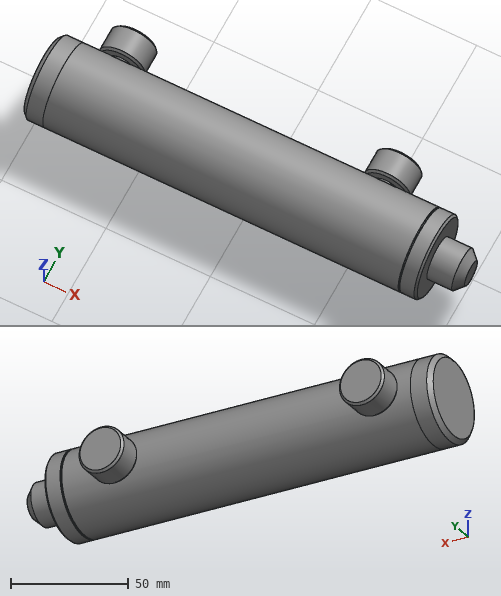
import cadquery as cq

OVERALL_LENGTH = 205.0

BARREL_DIAMETER = 40.0
BARREL_RADIUS = BARREL_DIAMETER / 2
CAP_LENGTH = 10.0
CAP_CHAMFER = 2.0
BARREL_END = 180.5
GLAND_END = 189.0
GLAND_CHAMFER = 1.0

GROOVE_WIDTH = 0.6
GROOVE_DEPTH = 0.5

ROD_DIAMETER = 20.0
ROD_CHAMFER = 4.0

PORT_POSITIONS = (26.9, 154.0)
PORT_DIAMETER = 22.0
PORT_CHAMFER = 1.0
PORT_OUTER_Y = 53.0 - BARREL_RADIUS
PORT_HEAD_Y = BARREL_RADIUS
NECK_DIAMETER = 12.3
NECK_SEAT_Y = 16.5


def cylinder_along_x(start, end, diameter):
    """Round bar on the X axis between two X positions."""
    return cq.Workplane("YZ", origin=(start, 0, 0)).circle(diameter / 2).extrude(end - start)


def cylinder_along_y(x, start, end, diameter):
    """Round bar parallel to Y at a given X, between two Y positions."""
    return cq.Workplane("XZ", origin=(x, start, 0)).circle(diameter / 2).extrude(start - end)


def make_neck(x):
    """Port neck, also used to cut its seat in the barrel."""
    return cylinder_along_y(x, NECK_SEAT_Y, PORT_HEAD_Y, NECK_DIAMETER)


def make_cap():
    cap = cylinder_along_x(0, CAP_LENGTH, BARREL_DIAMETER)
    return cap.faces("<X").chamfer(CAP_CHAMFER)


def make_barrel():
    barrel = cylinder_along_x(CAP_LENGTH, BARREL_END, BARREL_DIAMETER)
    for x in PORT_POSITIONS:
        barrel = barrel.cut(make_neck(x))
    return barrel


def make_gland():
    shoulder_start = BARREL_END + GROOVE_WIDTH
    shoulder = cylinder_along_x(shoulder_start, GLAND_END, BARREL_DIAMETER)
    shoulder = shoulder.faces(">X").chamfer(GLAND_CHAMFER)
    step_diameter = BARREL_DIAMETER - 2 * GROOVE_DEPTH
    step = cylinder_along_x(BARREL_END, shoulder_start, step_diameter)
    rod_bore = cylinder_along_x(BARREL_END, GLAND_END, ROD_DIAMETER)
    return shoulder.union(step).cut(rod_bore)


def make_rod():
    """Rod through the gland, ending against the barrel."""
    rod = cylinder_along_x(BARREL_END, OVERALL_LENGTH, ROD_DIAMETER)
    return rod.faces(">X").chamfer(ROD_CHAMFER)


def make_port(x):
    head = cylinder_along_y(x, PORT_HEAD_Y, PORT_OUTER_Y, PORT_DIAMETER)
    head = head.faces("<Y or >Y").chamfer(PORT_CHAMFER)
    return head.union(make_neck(x))


cap = make_cap()
barrel = make_barrel()
gland = make_gland()
rod = make_rod()
ports = []
for port_x in PORT_POSITIONS:
    ports.append(make_port(port_x).solids().val())

bodies = [body.solids().val() for body in (cap, barrel, gland, rod)]
result = cq.Compound.makeCompound([*bodies, *ports])